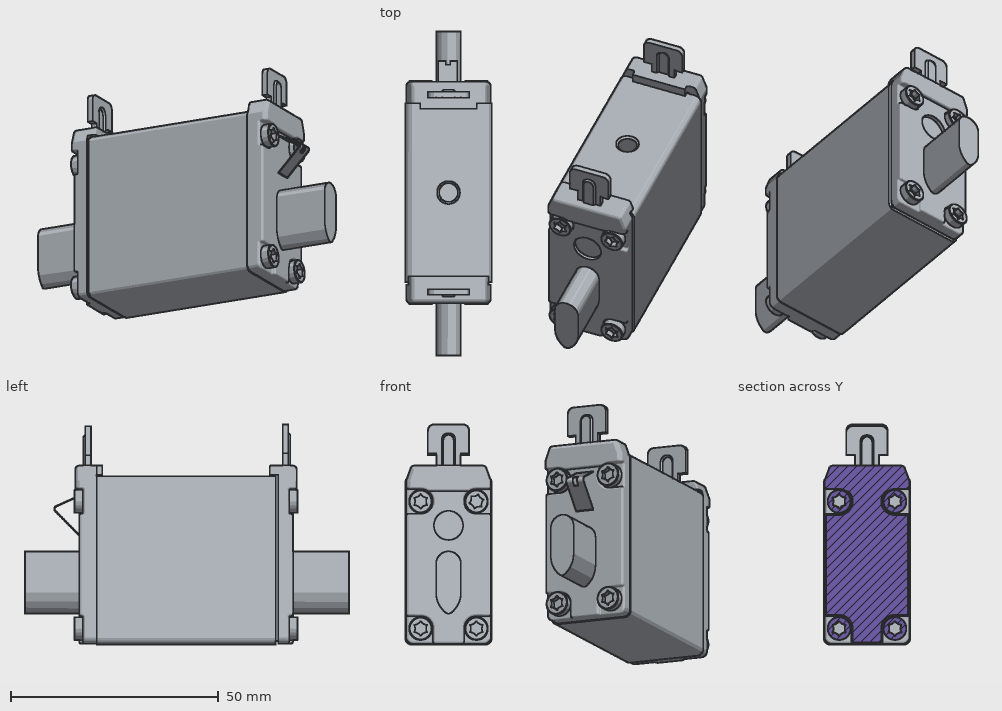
import cadquery as cq
import math


BLOCK_WIDTH = 20.8
BLOCK_LENGTH = 43.0
BLOCK_HEIGHT = 40.5
BLOCK_EDGE_RADIUS = 1.6
FILL_HOLE_DIAMETER = 4.5
FILL_HOLE_MOUTH = 5.5
FILL_HOLE_DEPTH = 7.8

COVER_INSET = 0.2
COVER_HALF_WIDTH = BLOCK_WIDTH / 2 - COVER_INSET
COVER_BOTTOM = COVER_INSET
COVER_TOP = 43.1
COVER_FACE = 25.7
COVER_BOTTOM_RADIUS = 1.55
COVER_RIM_RADIUS = 0.55
HOOD_FACE = 26.65
HOOD_BOTTOM = 36.9
HOOD_TAPER_START = 39.5
HOOD_TOP_HALF_WIDTH = 8.9
HOOD_EDGE_RADIUS = 1.1
LIP_LENGTH = 1.4
LIP_UNDERSIDE = 40.85
TAB_LIP_WIDTH = 13.6
TAB_LIP_ROOT_RADIUS = 0.5
WIDE_LIP_EDGE_RADIUS = 0.4
GASKET_THICKNESS = 0.6
GASKET_INSET = 0.6
DIAL_DIAMETER = 7
DIAL_HEIGHT = 28.7
DIAL_DEPTH = 0.9

SCREW_X = 6.7
SCREW_LOW = 3.9
SCREW_HIGH = 34.45
HEAD_DIAMETER = 5.5
HEAD_FACE = 26.9
HEAD_CHAMFER = 0.15
POCKET_RADIUS = 3.0
POCKET_FLOOR = 24.8
POCKET_FLOOR_RADIUS = 0.3
SOCKET_TIP_RADIUS = 1.8
SOCKET_VALLEY_RADIUS = 1.3
SOCKET_DEPTH = 1.55
SOCKET_LOBES = 6
TURNED_SOCKET_ANGLE = 15

BLADE_WIDTH = 6.0
BLADE_TOP = 22.45
BLADE_BOTTOM = 7.5
BLADE_CURVE_START = 12.55
BLADE_TIP_HALF_WIDTH = 0.7
BLADE_TIP_RISE = 0.2
BLADE_FRONT = -39.2
BLADE_LENGTH = 77.95

FRONT_LUG_Y = 23.9
BACK_LUG_Y = 23.55
LUG_THICKNESS = 1.4
LUG_WIDTH = 10.0
LUG_NECK_WIDTH = 5.85
LUG_HEAD_HEIGHT = 6.9
LUG_CORNER_RADIUS = 1.55
FRONT_LUG_TOP = 53
BACK_LUG_TOP = 52.5
EMBOSS_BASE_DIAMETER = 3.3
EMBOSS_FACE_DIAMETER = 2.4
EMBOSS_HEIGHT = 0.5
EMBOSS_DROP = 3.75

SPRING_X = -0.15
SPRING_WIDTH = 4.5
SPRING_THICKNESS = 0.15
SPRING_FOOT_HEIGHT = 26.3
SPRING_HEAD_HEIGHT = 35.85
SPRING_TIP_Y = 32.3
SPRING_TIP_HEIGHT = 32.9
SPRING_BEND_RADIUS = 0.8
SPRING_NOTCH_WIDTH = 1.1
SPRING_NOTCH_BOTTOM = 30.7


def box(x_size, y_min, y_max, z_min, z_max):
    """Block centred on X, given by its Y and Z limits."""
    return cq.Workplane("XY").box(x_size, y_max - y_min, z_max - z_min).translate(
        (0, (y_min + y_max) / 2, (z_min + z_max) / 2)
    )


def facing_back(y):
    """XZ sketch plane at y whose extrusions run toward +Y."""
    return cq.Workplane(cq.Plane(origin=(0, y, 0), xDir=(-1, 0, 0), normal=(0, 1, 0)))


def make_block():
    block = box(BLOCK_WIDTH, -BLOCK_LENGTH / 2, BLOCK_LENGTH / 2, 0, BLOCK_HEIGHT)
    block = block.edges("|Y").fillet(BLOCK_EDGE_RADIUS)
    mouth_chamfer = (FILL_HOLE_MOUTH - FILL_HOLE_DIAMETER) / 2
    hole = (
        cq.Workplane("XY")
        .workplane(offset=BLOCK_HEIGHT - FILL_HOLE_DEPTH)
        .circle(FILL_HOLE_DIAMETER / 2)
        .extrude(FILL_HOLE_DEPTH)
    )
    mouth = (
        cq.Workplane("XY")
        .workplane(offset=BLOCK_HEIGHT)
        .circle(FILL_HOLE_MOUTH / 2)
        .extrude(-mouth_chamfer, taper=45)
    )
    return block.cut(hole).cut(mouth)


def make_blade():
    half = BLADE_WIDTH / 2
    tip_z = BLADE_BOTTOM + BLADE_TIP_RISE
    drop = BLADE_CURVE_START - tip_z
    inward = half - BLADE_TIP_HALF_WIDTH
    radius = (drop**2 + inward**2) / (2 * inward)
    half_sweep = math.asin(drop / radius) / 2
    flank_x = half - radius * (1 - math.cos(half_sweep))
    flank_z = BLADE_CURVE_START - radius * math.sin(half_sweep)
    return (
        facing_back(BLADE_FRONT)
        .moveTo(-half, BLADE_CURVE_START)
        .lineTo(-half, BLADE_TOP - half)
        .threePointArc((0, BLADE_TOP), (half, BLADE_TOP - half))
        .lineTo(half, BLADE_CURVE_START)
        .threePointArc((flank_x, flank_z), (BLADE_TIP_HALF_WIDTH, tip_z))
        .threePointArc((0, BLADE_BOTTOM), (-BLADE_TIP_HALF_WIDTH, tip_z))
        .threePointArc((-flank_x, flank_z), (-half, BLADE_CURVE_START))
        .close()
        .extrude(BLADE_LENGTH)
    )


def make_hood(lip_width):
    """Upper part of a cover, tapered toward the top, with a lip above the block."""
    hood = (
        facing_back(BLOCK_LENGTH / 2 - LIP_LENGTH)
        .moveTo(-COVER_HALF_WIDTH, HOOD_BOTTOM)
        .lineTo(-COVER_HALF_WIDTH, HOOD_TAPER_START)
        .lineTo(-HOOD_TOP_HALF_WIDTH, COVER_TOP)
        .lineTo(HOOD_TOP_HALF_WIDTH, COVER_TOP)
        .lineTo(COVER_HALF_WIDTH, HOOD_TAPER_START)
        .lineTo(COVER_HALF_WIDTH, HOOD_BOTTOM)
        .close()
        .extrude(HOOD_FACE - BLOCK_LENGTH / 2 + LIP_LENGTH)
    )
    hood = hood.edges("|Y").edges(cq.selectors.BoxSelector(
        (-BLOCK_WIDTH, 0, HOOD_TAPER_START - 0.8), (BLOCK_WIDTH, HOOD_FACE, COVER_TOP + 0.8)
    )).fillet(HOOD_EDGE_RADIUS)
    hood = hood.faces(">Y").edges("not <Z").fillet(HOOD_EDGE_RADIUS)

    lip_start = BLOCK_LENGTH / 2 - LIP_LENGTH
    lip_end = BLOCK_LENGTH / 2
    hood = hood.cut(box(BLOCK_WIDTH, lip_start, lip_end, 0, LIP_UNDERSIDE))
    if lip_width < BLOCK_WIDTH:
        lip = box(lip_width, lip_start, lip_end, LIP_UNDERSIDE, COVER_TOP)
        beside_lip = box(BLOCK_WIDTH, lip_start, lip_end, LIP_UNDERSIDE, COVER_TOP).cut(lip)
        beside_lip = beside_lip.edges("|Z").edges(cq.selectors.BoxSelector(
            (-lip_width / 2 - 0.1, lip_end - 0.1, 0), (lip_width / 2 + 0.1, lip_end + 0.1, COVER_TOP)
        )).fillet(TAB_LIP_ROOT_RADIUS)
        hood = hood.cut(beside_lip)
    else:
        hood = hood.faces("<Y").edges("not <Z").fillet(WIDE_LIP_EDGE_RADIUS)
    return hood


def pocket(x_side, screw_z):
    """Corner recess around a screw, open to the side and, at the bottom, downward."""
    depth = HOOD_FACE - POCKET_FLOOR
    open_length = BLOCK_WIDTH / 2
    x = x_side * SCREW_X
    side_x = x + x_side * open_length / 2
    sketch = facing_back(POCKET_FLOOR)
    shape = sketch.center(-x, screw_z).circle(POCKET_RADIUS).extrude(depth)
    to_side = sketch.center(-side_x, screw_z).rect(open_length, 2 * POCKET_RADIUS).extrude(depth)
    shape = shape.union(to_side)
    if screw_z == SCREW_LOW:
        corner_width = open_length + POCKET_RADIUS
        corner_x = x + x_side * (open_length - POCKET_RADIUS) / 2
        corner = (
            sketch.center(-corner_x, screw_z - open_length / 2)
            .rect(corner_width, open_length)
            .extrude(depth)
        )
        shape = shape.union(corner)
    return shape.clean().faces("<Y").edges().fillet(POCKET_FLOOR_RADIUS)


def rim_edges(cover):
    """Outer edges of the flat face, of the pocket mouths and of the hood foot."""
    rim = []
    for edge in cover.edges(cq.selectors.BoxSelector(
        (-BLOCK_WIDTH, POCKET_FLOOR - 0.1, 0), (BLOCK_WIDTH, HOOD_FACE + 0.1, SCREW_HIGH + POCKET_RADIUS + 0.1),
    )).vals():
        middle = edge.Center()
        bounds = edge.BoundingBox()
        in_face = bounds.ymin > COVER_FACE - 0.1 and bounds.ylen < 0.1
        on_ledge = middle.z > HOOD_BOTTOM - 0.1 and middle.y < COVER_FACE + 0.1
        on_outside = abs(middle.x) > SCREW_X + POCKET_RADIUS - 0.15 or middle.z < SCREW_LOW - POCKET_RADIUS
        if (in_face and not on_ledge) or on_outside:
            rim.append(edge)
    return rim


def make_cover(lip_width):
    """Cover for the +Y end."""
    plate = box(2 * COVER_HALF_WIDTH, BLOCK_LENGTH / 2, COVER_FACE, COVER_BOTTOM, HOOD_BOTTOM)
    plate = plate.edges("|Y and <Z").fillet(COVER_BOTTOM_RADIUS)
    cover = plate.union(make_hood(lip_width))
    for x_side in (-1, 1):
        for screw_z in (SCREW_LOW, SCREW_HIGH):
            cover = cover.cut(pocket(x_side, screw_z))
    return cover.newObject(rim_edges(cover)).fillet(COVER_RIM_RADIUS)


def torx_socket():
    step = 2 * math.pi / SOCKET_LOBES

    def at(radius, turns):
        angle = math.pi / 2 + turns * step
        return (radius * math.cos(angle), radius * math.sin(angle))

    outline = facing_back(HEAD_FACE - SOCKET_DEPTH).moveTo(*at(SOCKET_TIP_RADIUS, 0))
    for lobe in range(SOCKET_LOBES):
        outline = outline.threePointArc(
            at(SOCKET_VALLEY_RADIUS, lobe + 0.5), at(SOCKET_TIP_RADIUS, lobe + 1)
        )
    return outline.close().extrude(SOCKET_DEPTH)


def make_screw(x, z, turn):
    head = facing_back(POCKET_FLOOR).circle(HEAD_DIAMETER / 2).extrude(HEAD_FACE - POCKET_FLOOR)
    head = head.faces(">Y").chamfer(HEAD_CHAMFER)
    socket = torx_socket().rotate((0, 0, 0), (0, 1, 0), turn)
    return head.cut(socket).translate((x, 0, z))


def emboss(base_y, top):
    """Arched raised strip with sloping flanks, its foot inside the cover."""
    arch_z = top - EMBOSS_DROP
    foot_z = HOOD_TAPER_START
    slope = (EMBOSS_BASE_DIAMETER - EMBOSS_FACE_DIAMETER) / 2
    return (
        facing_back(base_y)
        .center(0, (arch_z + foot_z) / 2)
        .slot2D(arch_z - foot_z + EMBOSS_BASE_DIAMETER, EMBOSS_BASE_DIAMETER, 90)
        .extrude(EMBOSS_HEIGHT, taper=math.degrees(math.atan(slope / EMBOSS_HEIGHT)))
    )


def make_lug(lug_y, top):
    inner = lug_y - LUG_THICKNESS / 2
    outer = lug_y + LUG_THICKNESS / 2
    head = box(LUG_WIDTH, inner, outer, top - LUG_HEAD_HEIGHT, top)
    head = head.edges("|Y and >Z").fillet(LUG_CORNER_RADIUS)
    neck = box(LUG_NECK_WIDTH, inner, outer, HOOD_TAPER_START, top - LUG_HEAD_HEIGHT)
    return head.union(neck).cut(emboss(inner, top)).union(emboss(outer, top))


def seam_groove():
    """Shallow groove around the foot of a cover, leaving the narrower gasket."""
    start = BLOCK_LENGTH / 2
    end = start + GASKET_THICKNESS
    gasket_width = 2 * (COVER_HALF_WIDTH - GASKET_INSET)
    gasket = box(gasket_width, start, end, COVER_BOTTOM + GASKET_INSET, LIP_UNDERSIDE)
    return box(BLOCK_WIDTH, start, end, 0, LIP_UNDERSIDE).cut(gasket)


def make_end(lip_width, lug_y, lug_top, right_socket_turn):
    """One complete +Y end: cover, lug, screws."""
    end = make_cover(lip_width).union(make_lug(lug_y, lug_top))
    for x_side in (-1, 1):
        for screw_z in (SCREW_LOW, SCREW_HIGH):
            turned = x_side == 1 and screw_z == SCREW_HIGH
            turn = right_socket_turn if turned else 0
            end = end.union(make_screw(x_side * SCREW_X, screw_z, turn))
    return end


def make_fuse():
    back = make_end(TAB_LIP_WIDTH, BACK_LUG_Y, BACK_LUG_TOP, 0)
    front = make_end(BLOCK_WIDTH, FRONT_LUG_Y, FRONT_LUG_TOP, TURNED_SOCKET_ANGLE).cut(seam_groove())
    dial = (
        facing_back(COVER_FACE - DIAL_DEPTH)
        .center(0, DIAL_HEIGHT)
        .circle(DIAL_DIAMETER / 2)
        .extrude(DIAL_DEPTH)
    )
    front = front.cut(dial).mirror("XZ")
    return make_block().union(back).union(front).union(make_blade())


def make_spring():
    wedge = (
        cq.Workplane("YZ")
        .moveTo(COVER_FACE, SPRING_FOOT_HEIGHT)
        .lineTo(SPRING_TIP_Y, SPRING_TIP_HEIGHT)
        .lineTo(COVER_FACE, SPRING_HEAD_HEIGHT)
        .close()
        .extrude(SPRING_WIDTH / 2, both=True)
    )
    wedge = wedge.edges("|X and >Y").fillet(SPRING_BEND_RADIUS)
    strip = wedge.faces("<Y or <X or >X").shell(-SPRING_THICKNESS)
    notch = box(SPRING_NOTCH_WIDTH, SPRING_NOTCH_BOTTOM, SPRING_TIP_Y, SPRING_FOOT_HEIGHT, SPRING_HEAD_HEIGHT)
    return strip.cut(notch).translate((SPRING_X, 0, 0))


fuse = make_fuse()
spring = make_spring()
result = cq.Compound.makeCompound([fuse.solids().val(), spring.solids().val()])